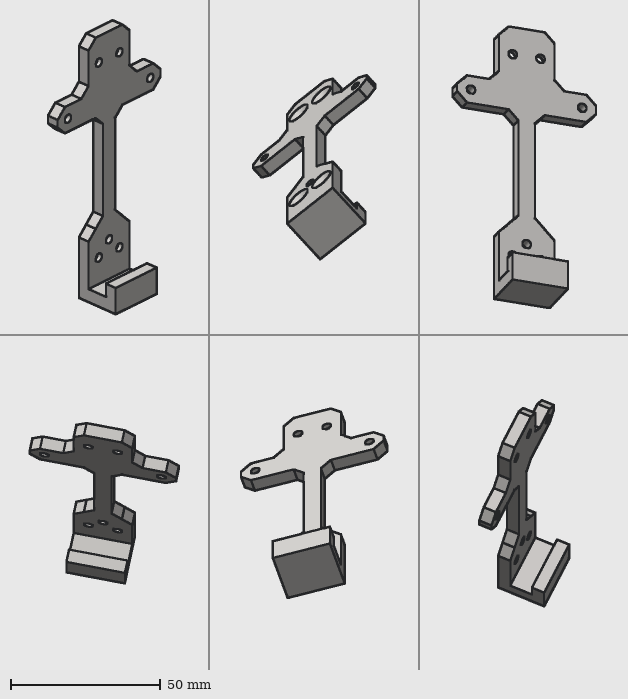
import cadquery as cq
import math

plate_thickness = 4.5
total_height = 99.0
block_width = 20.0
stem_width = 6.0
arm_span = 50.0
arm_height = 10.0
arm_center_z = 73.5
base_height = 26.5
bevel_face = 5.0
bevel = bevel_face / math.sqrt(2)

hook_depth = 17.0
hook_floor = 5.0
lip_thickness = plate_thickness
lip_height = 10.0

hole_diameter = 3.0
sink_diameter = 8.0
screw_spacing = 10.0
head_screw_inset = 10.0
head_screw_z = total_height - head_screw_inset
base_screw_z = 15.0
center_hole_z = 20.0
arm_hole_spacing = 40.0


def make_plate():
    """Cross-shaped plate on a narrow stem with 45 degree gussets and bevels."""
    block_half = block_width / 2
    stem_half = stem_width / 2
    arm_half = arm_span / 2
    arm_bottom = arm_center_z - arm_height / 2
    arm_top = arm_center_z + arm_height / 2
    right_side = [
        (block_half, 0),
        (block_half, base_height - bevel),
        (block_half - bevel, base_height),
        (stem_half + bevel, base_height),
        (stem_half, base_height + bevel),
        (stem_half, arm_bottom - bevel),
        (stem_half + bevel, arm_bottom),
        (arm_half - bevel, arm_bottom),
        (arm_half, arm_bottom + bevel),
        (arm_half, arm_top - bevel),
        (arm_half - bevel, arm_top),
        (block_half + bevel, arm_top),
        (block_half, arm_top + bevel),
        (block_half, total_height - bevel),
        (block_half - bevel, total_height),
    ]
    left_side = [(-y, z) for y, z in reversed(right_side)]
    return cq.Workplane("YZ").polyline(right_side + left_side).close().extrude(plate_thickness)


def make_hook():
    """Floor and upturned lip on the +X side of the base, as wide as the base."""
    floor = cq.Workplane("XY").box(hook_depth, block_width, hook_floor, centered=(False, True, False))
    lip = (
        cq.Workplane("XY")
        .box(lip_thickness, block_width, lip_height, centered=(False, True, False))
        .translate((hook_depth - lip_thickness, 0, 0))
    )
    return floor.union(lip)


def hole_cutter(y, z):
    """Plain hole through the plate."""
    return (
        cq.Workplane("YZ")
        .center(y, z)
        .circle(hole_diameter / 2)
        .extrude(plate_thickness)
    )


def screw_cutter(y, z):
    """Hole through the plate with a 90 degree countersink on the -X face."""
    hole_radius = hole_diameter / 2
    sink_radius = sink_diameter / 2
    sink_depth = sink_radius - hole_radius
    sink = cq.Solid.makeCone(
        sink_radius, hole_radius, sink_depth, pnt=cq.Vector(0, y, z), dir=cq.Vector(1, 0, 0)
    )
    return hole_cutter(y, z).union(cq.Workplane(sink))


result = make_plate().union(make_hook())

for side in (-1, 1):
    for screw_z in (head_screw_z, base_screw_z):
        result = result.cut(screw_cutter(side * screw_spacing / 2, screw_z))
    result = result.cut(hole_cutter(side * arm_hole_spacing / 2, arm_center_z))

result = result.cut(hole_cutter(0, center_hole_z))